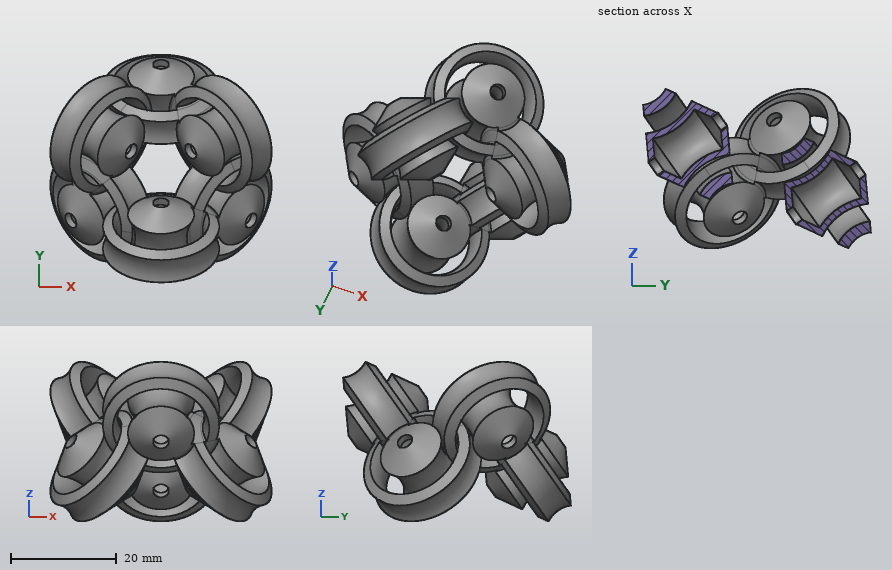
import cadquery as cq
import math

CENTER_DISTANCE = 16.0
LINK_COUNT = 3

SECTOR_HALF_ANGLE = math.radians(30)
SIDE_CLEARANCE = 0.25
RING_OUTER_ARC = 5.65
RING_INNER_ARC = 7.8
SPOOL_NECK_ARC = 11.1

HOLE_DIAMETER = 3.0
HOLE_RADIUS = HOLE_DIAMETER / 2
CAP_THICKNESS = 1.5
NECK_THICKNESS = 1.25
SECTOR_TIP_RADIUS = CENTER_DISTANCE - SIDE_CLEARANCE / math.sin(SECTOR_HALF_ANGLE)


def side_height(radius):
    return (SECTOR_TIP_RADIUS - radius) * math.tan(SECTOR_HALF_ANGLE)


def arc_points(arc_radius, inset=0):
    """Lower, middle and upper point (radius, height) of the arc between the two straight sides."""
    turn = SECTOR_HALF_ANGLE - math.asin((SIDE_CLEARANCE + inset) / arc_radius)
    radius = CENTER_DISTANCE - arc_radius * math.cos(turn)
    height = arc_radius * math.sin(turn)
    return (radius, -height), (CENTER_DISTANCE - arc_radius, 0), (radius, height)


def revolve(outline):
    return outline.revolve(360, (0, 0, 0), (0, 1, 0))


def make_ring():
    outer_bottom, outer_middle, outer_top = arc_points(RING_OUTER_ARC)
    inner_bottom, inner_middle, inner_top = arc_points(RING_INNER_ARC)
    outline = (
        cq.Workplane("XZ")
        .moveTo(*inner_bottom)
        .lineTo(*outer_bottom)
        .threePointArc(outer_middle, outer_top)
        .lineTo(*inner_top)
        .threePointArc(inner_middle, inner_bottom)
        .close()
    )
    return revolve(outline)


def make_sector_disc():
    """The sector from the waist of the spool outwards to its tip."""
    neck_bottom, neck_middle, neck_top = arc_points(SPOOL_NECK_ARC)
    outline = (
        cq.Workplane("XZ")
        .moveTo(SECTOR_TIP_RADIUS, 0)
        .lineTo(*neck_top)
        .threePointArc(neck_middle, neck_bottom)
        .close()
    )
    return revolve(outline)


def make_spool():
    """Hollow waisted spool with a conical cap and a central hole at each end."""
    neck_bottom, neck_middle, neck_top = arc_points(SPOOL_NECK_ARC)
    inset = CAP_THICKNESS * math.cos(SECTOR_HALF_ANGLE)
    bore_bottom, bore_middle, bore_top = arc_points(SPOOL_NECK_ARC + NECK_THICKNESS, inset)
    hole_mouth = side_height(HOLE_RADIUS)
    hole_end = hole_mouth - CAP_THICKNESS
    outline = (
        cq.Workplane("XZ")
        .moveTo(HOLE_RADIUS, -hole_end)
        .lineTo(HOLE_RADIUS, -hole_mouth)
        .lineTo(*neck_bottom)
        .threePointArc(neck_middle, neck_top)
        .lineTo(HOLE_RADIUS, hole_mouth)
        .lineTo(HOLE_RADIUS, hole_end)
        .lineTo(*bore_top)
        .threePointArc(bore_middle, bore_bottom)
        .close()
    )
    return revolve(outline)


def place_upper(piece):
    return piece.rotate((0, 0, 0), (0, 1, 0), 90).translate((0, CENTER_DISTANCE / 2, 0))


def place_lower(piece):
    return piece.translate((0, -CENTER_DISTANCE / 2, 0))


def make_link():
    """Two units side by side along Y, the upper with its axis along X and the lower along Z.
    Where the sectors around both spools overlap is solid, joining both spools and both rings."""
    sector_disc = make_sector_disc()
    link = place_upper(sector_disc).intersect(place_lower(sector_disc))
    for piece in (make_spool(), make_ring()):
        link = link.union(place_upper(piece), clean=False).union(place_lower(piece), clean=False)
    return link


edge_rise = math.sqrt(1 / 3)
link_plane = cq.Plane(
    origin=(
        CENTER_DISTANCE / math.sqrt(8),
        -CENTER_DISTANCE * math.sqrt(3 / 8),
        0,
    ),
    xDir=(0, math.sqrt(2 / 3), edge_rise),
    normal=(math.sqrt(1 / 2), -math.sqrt(1 / 6), edge_rise),
)
link = cq.Workplane(make_link().val().moved(cq.Location(link_plane)))

links = []
for index in range(LINK_COUNT):
    angle = index * 360 / LINK_COUNT
    links.append(link.rotate((0, 0, 0), (0, 0, 1), angle).val())

result = cq.Compound.makeCompound(links)